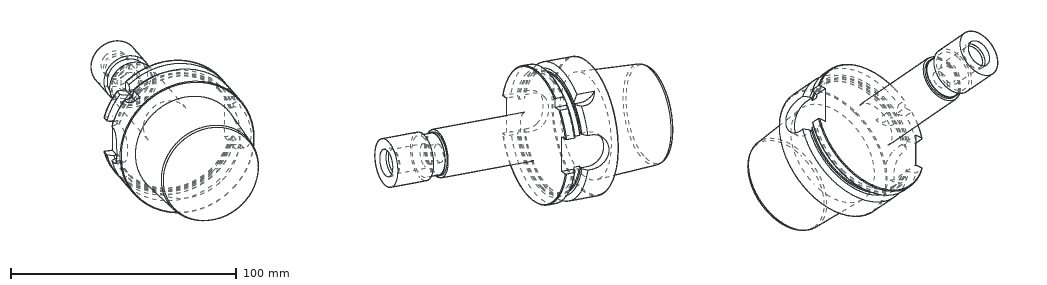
import cadquery as cq
import math


total_length = 132.0
nose_end = 18.0
neck_end = 24.4
shaft_start = 25.3
flange_front = 74.0
flange_rear = 100.0

shaft_radius = 22.0 / 2
neck_radius = 19.0 / 2
shoulder_radius = 19.7 / 2
shaft_lead_radius = 21.8 / 2
flange_radius = 63.0 / 2
taper_front_radius = 24.4
taper_rear_radius = 22.8

relief_depth = 0.1
relief_run = 0.9
blend_radius = 3.2

shaft_lead_length = 0.9
flange_chamfer = 0.4
taper_chamfer = 1.2
taper_chamfer_depth = 0.5

groove_front_edge = 78.4
groove_floor_radius = 27.3
groove_corner = 0.4
groove_wall_half_width = 3.5 / 2
groove_wall_radius = 28.9
groove_mouth_half_width = 6.0 / 2
groove_edge_half_width = 6.7 / 2
groove_middle = groove_front_edge + groove_edge_half_width
groove_edge_drop = 0.4

slot_floor = 52.7 / 2
slot_end = 95.2
narrow_slot_half_width = 8.2
wide_slot_half_width = 9.0
cutter_radius = 8.0

notch_offset = 20.0
notch_curve_start = 86.7

mouth_radius = 12.4 / 2
mouth_end = 3.2
mouth_cone_end = 4.0
recess_radius = 11.0 / 2
recess_end = 19.8
core_radius = 8.5 / 2
core_end = 26.4
drill_tip_half_angle = math.radians(59)


def turned_body():
    relief_front_radius = shaft_radius - relief_depth
    relief_face = flange_front + relief_depth
    blend_start = relief_face - blend_radius
    blend_outer_radius = relief_front_radius + blend_radius
    bulge = blend_radius * math.sin(math.radians(45))
    blend_middle = (blend_start + bulge, blend_outer_radius - bulge)
    profile = (
        cq.Workplane("XY")
        .moveTo(0, 0)
        .lineTo(0, shaft_radius)
        .lineTo(nose_end, shaft_radius)
        .lineTo(nose_end, neck_radius)
        .lineTo(neck_end, neck_radius)
        .lineTo(neck_end, shoulder_radius)
        .lineTo(shaft_start, shoulder_radius)
        .lineTo(shaft_start, shaft_lead_radius)
        .lineTo(shaft_start + shaft_lead_length, shaft_radius)
        .lineTo(blend_start - relief_run, shaft_radius)
        .lineTo(blend_start, relief_front_radius)
        .threePointArc(blend_middle, (relief_face, blend_outer_radius))
        .lineTo(flange_front, blend_outer_radius + relief_run)
        .lineTo(flange_front, flange_radius - flange_chamfer)
        .lineTo(flange_front + flange_chamfer, flange_radius)
        .lineTo(flange_rear - flange_chamfer, flange_radius)
        .lineTo(flange_rear, flange_radius - flange_chamfer)
        .lineTo(flange_rear, taper_front_radius)
        .lineTo(total_length - taper_chamfer, taper_rear_radius)
        .lineTo(total_length, taper_rear_radius - taper_chamfer_depth)
        .lineTo(total_length, 0)
        .close()
    )
    return profile.revolve(360, (0, 0, 0), (1, 0, 0))


def gripper_groove():
    front_wall = [
        (groove_edge_half_width, flange_radius),
        (groove_mouth_half_width, flange_radius - groove_edge_drop),
        (groove_wall_half_width, groove_wall_radius),
        (groove_wall_half_width, groove_floor_radius + groove_corner),
        (groove_wall_half_width - groove_corner, groove_floor_radius),
    ]
    front = [(groove_middle - offset, radius) for offset, radius in front_wall]
    rear = [(groove_middle + offset, radius) for offset, radius in reversed(front_wall)]
    profile = cq.Workplane("XY").polyline(front + rear).close()
    return profile.revolve(360, (0, 0, 0), (1, 0, 0))


def slot_blank(side, half_width, end):
    """Box from the front face to the given X, outside the slot floor; side is +1 or -1 in Y."""
    depth = flange_radius - slot_floor
    return (
        cq.Workplane("XY")
        .box(end - flange_front, depth, 2 * half_width, centered=(False, True, True))
        .translate((flange_front, side * (slot_floor + depth / 2), 0))
    )


def narrow_drive_slot():
    """Slot at -Y whose closed end is a full half circle."""
    round_center = slot_end - narrow_slot_half_width
    round_end = (
        cq.Workplane("XZ", origin=(0, -slot_floor, 0))
        .center(round_center, 0)
        .circle(narrow_slot_half_width)
        .extrude(flange_radius - slot_floor)
    )
    return slot_blank(-1, narrow_slot_half_width, round_center).union(round_end)


def wide_drive_slot():
    """Slot at +Y with a short flat between the rounded corners of its closed end."""
    return slot_blank(1, wide_slot_half_width, slot_end).edges("|Y and >X").fillet(cutter_radius)


def orientation_notch():
    """Corner cut at -Y, +Z whose floor curves up to the rear by the cutter radius."""
    depth = flange_radius - notch_offset
    curve_center_z = notch_offset + cutter_radius
    straight = (
        cq.Workplane("XY")
        .box(notch_curve_start - flange_front, depth, depth, centered=False)
        .translate((flange_front, -flange_radius, notch_offset))
    )
    curved_end = (
        cq.Workplane("XZ", origin=(0, -notch_offset, 0))
        .center(notch_curve_start, curve_center_z)
        .circle(cutter_radius)
        .extrude(depth)
    )
    return straight.union(curved_end)


def nose_hole():
    tip = core_end + core_radius / math.tan(drill_tip_half_angle)
    shoulder_end = recess_end + recess_radius - core_radius
    profile = [
        (0, 0),
        (0, mouth_radius),
        (mouth_end, mouth_radius),
        (mouth_cone_end, recess_radius),
        (recess_end, recess_radius),
        (shoulder_end, core_radius),
        (core_end, core_radius),
        (tip, 0),
    ]
    return cq.Workplane("XY").polyline(profile).close().revolve(360, (0, 0, 0), (1, 0, 0))


result = (
    turned_body()
    .cut(gripper_groove())
    .cut(narrow_drive_slot())
    .cut(wide_drive_slot())
    .cut(orientation_notch())
    .cut(nose_hole())
)